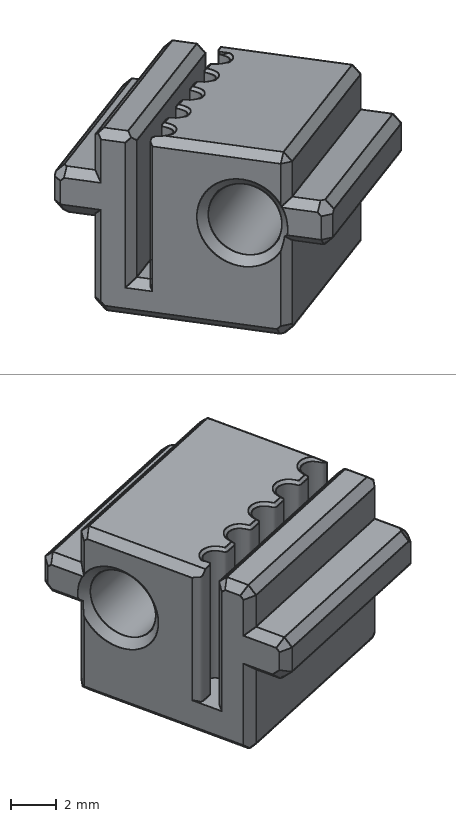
import cadquery as cq
import math

length = 10.5
body_height = 8.8
overall_width = 12.85
lug_reach = 1.875
body_width = overall_width - 2 * lug_reach
body_left = -body_width / 2
body_right = body_width / 2
bevel = 0.4
corner_facet_reach = bevel * (1 + math.sqrt(2))

lug_top = 6.7
left_lug_thickness = 2.3
right_lug_thickness = 2.1
left_lug_low_bevel = 0.6
lug_root = 1.0

clamp_wall = 1.925
slot_width = 0.715
slot_floor = 1.8
slot_left = body_left + clamp_wall
slot_right = slot_left + slot_width
tooth_bevel = 0.14

groove_pitch = 2.0
groove_count = 6
first_groove_y = 1.0
groove_depth = 0.75
groove_root_radius = 0.555
groove_flank_radius = 1.0
groove_flank_offset = 0.4
groove_lip_radius = 0.15
bevelled_groove_count = 5

hole_inset = 2.175
hole_x = body_right - hole_inset
hole_z = 5.3
hole_radius = 1.7

match_tolerance = 0.01


def near(x=None, y=None, z=None):
    """Return a test for edges whose centre lies at the given coordinates."""
    def test(edge):
        centre = edge.Center()
        pairs = ((x, centre.x), (y, centre.y), (z, centre.z))
        return all(want is None or abs(want - have) < match_tolerance for want, have in pairs)
    return test


def bevel_edges(solid, size, *tests):
    """Chamfer every edge that passes at least one of the tests."""
    edges = [edge for edge in solid.Edges() if any(test(edge) for test in tests)]
    return solid.chamfer(size, None, edges)


def box(x_min, x_max, y_min, y_max, z_min, z_max):
    """Return a block between the given limits."""
    size = (x_max - x_min, y_max - y_min, z_max - z_min)
    return cq.Workplane().box(*size, centered=False).translate((x_min, y_min, z_min)).val()


def cut_beyond(solid, normal, point):
    """Remove everything on the outer side of the plane through the point."""
    plane = cq.Plane(origin=point, normal=normal)
    side = 4 * overall_width
    return solid.cut(cq.Workplane(plane).rect(side, side).extrude(side).val())


def make_body():
    """Block with the plain slot, bevelled outside and along the clamp wall."""
    solid = box(body_left, body_right, 0, length, 0, body_height)
    slot = box(slot_left, slot_right, 0, length, slot_floor, body_height)
    solid = solid.cut(slot).Solids()[0]

    is_front = near(y=0)
    toothed_wall_front = near(x=slot_right, y=0)
    top_right = near(x=body_right, z=body_height)

    def front_bevelled(edge):
        return is_front(edge) and not toothed_wall_front(edge)

    solid = bevel_edges(solid, bevel, front_bevelled, top_right)

    clamp_outer_top = near(x=body_left, z=body_height)
    clamp_inner_top = near(x=slot_left, z=body_height)
    solid = bevel_edges(solid, bevel, clamp_outer_top, clamp_inner_top)

    is_rear = near(y=length)
    toothed_wall_rear = near(x=slot_right, y=length)
    floor_rear = near(y=length, z=slot_floor)

    def rear_bevelled(edge):
        return is_rear(edge) and not toothed_wall_rear(edge) and not floor_rear(edge)

    solid = bevel_edges(solid, bevel, rear_bevelled)

    solid = bevel_edges(solid, bevel, near(x=body_left, z=0), near(x=body_right, z=0))

    facet_left = body_left + corner_facet_reach
    facet_right = body_right - corner_facet_reach
    solid = cut_beyond(solid, (-1, -1, -1), (facet_left, 0, 0))
    solid = cut_beyond(solid, (1, -1, -1), (facet_right, 0, 0))

    return bevel_edges(solid, tooth_bevel, toothed_wall_front)


def make_lug(thickness, low_bevel):
    """Bevelled bar along the left side, with its root buried in the body."""
    tip = body_left - lug_reach
    root = body_left + lug_root
    low = lug_top - thickness
    solid = box(tip, root, 0, length, low, lug_top)

    solid = bevel_edges(solid, bevel, near(x=tip, z=lug_top))

    def front_outer(edge):
        above_low = edge.Center().z > low + match_tolerance
        outside_root = edge.Center().x < root - match_tolerance
        return near(y=0)(edge) and above_low and outside_root

    solid = bevel_edges(solid, bevel, front_outer)

    solid = cut_beyond(solid, (-1, -1, 1), (tip + corner_facet_reach, 0, lug_top))

    solid = cut_beyond(solid, (-1, 0, -1), (tip, 0, low + low_bevel))
    solid = cut_beyond(solid, (0, -1, -1), (tip, 0, low + low_bevel))
    solid = cut_beyond(solid, (-1, -1, -1), (tip + bevel, 0, low + low_bevel))

    def rear_outer(edge):
        return near(y=length)(edge) and edge.Center().x < root - match_tolerance

    return bevel_edges(solid, bevel, rear_outer)


def groove_prism(y_centre):
    """One belt groove: root arc, two flank arcs and flared lips, slot floor to top."""
    centre_gap = groove_flank_radius - groove_root_radius
    root_x = math.sqrt(centre_gap ** 2 - groove_flank_offset ** 2)
    scale_to_touch = groove_flank_radius / centre_gap
    touch_x = root_x * scale_to_touch
    touch_y = groove_flank_offset * scale_to_touch - groove_flank_offset

    lip_span = groove_flank_radius + groove_lip_radius
    lip_centre_height = math.sqrt(lip_span ** 2 - groove_lip_radius ** 2)
    mouth_y = lip_centre_height - groove_flank_offset
    lip_x = groove_lip_radius * groove_flank_radius / lip_span
    lip_y = lip_centre_height * groove_flank_radius / lip_span - groove_flank_offset

    lip_angle = math.asin(groove_lip_radius / lip_span)
    flank_angle = (lip_angle + math.asin(touch_x / groove_flank_radius)) / 2
    flank_mid_x = groove_flank_radius * math.sin(flank_angle)
    flank_mid_y = groove_flank_radius * math.cos(flank_angle) - groove_flank_offset

    lip_turn = (math.pi / 2 - lip_angle) / 2
    lip_mid_x = groove_lip_radius * (1 - math.cos(lip_turn))
    lip_mid_y = mouth_y - groove_lip_radius * math.sin(lip_turn)

    profile = (
        cq.Workplane(origin=(slot_right, y_centre, slot_floor))
        .moveTo(0, -mouth_y)
        .threePointArc((lip_mid_x, -lip_mid_y), (lip_x, -lip_y))
        .threePointArc((flank_mid_x, -flank_mid_y), (touch_x, -touch_y))
        .threePointArc((groove_depth, 0), (touch_x, touch_y))
        .threePointArc((flank_mid_x, flank_mid_y), (lip_x, lip_y))
        .threePointArc((lip_mid_x, lip_mid_y), (0, mouth_y))
        .close()
    )
    return profile.extrude(body_height - slot_floor).val()


def cut_grooves(body):
    """Cut the belt grooves and bevel their top rim."""
    strip_right = slot_right + 2 * groove_depth
    strip_front = -groove_pitch
    strip_rear = length + groove_pitch
    strip = box(slot_right, strip_right, strip_front, strip_rear, slot_floor, body_height)
    teeth = strip
    for index in range(groove_count):
        teeth = teeth.cut(groove_prism(first_groove_y + index * groove_pitch))
    teeth = teeth.Solids()[0]

    def rim(edge):
        centre = edge.Center()
        on_top = near(z=body_height)(edge)
        inside = strip_front + match_tolerance < centre.y < strip_rear - match_tolerance
        return on_top and inside and centre.x < strip_right - match_tolerance

    bevelled = bevel_edges(teeth, tooth_bevel, rim)

    last_full_y = first_groove_y + (bevelled_groove_count - 1) * groove_pitch
    rim_end = last_full_y + groove_flank_radius - groove_flank_offset
    rim_zone = box(slot_right, strip_right, strip_front, rim_end, slot_floor, body_height)
    rim_tool = strip.cut(bevelled).intersect(rim_zone)
    return body.cut(strip.cut(teeth)).cut(rim_tool)


def hole_tool():
    """Through hole with a countersink at each end."""
    mouth_radius = hole_radius + bevel
    return (
        cq.Workplane("XY")
        .lineTo(mouth_radius, 0)
        .lineTo(hole_radius, bevel)
        .lineTo(hole_radius, length - bevel)
        .lineTo(mouth_radius, length)
        .lineTo(0, length)
        .close()
        .revolve(360, (0, 0), (0, 1))
        .translate((hole_x, 0, hole_z))
        .val()
    )


left_lug = make_lug(left_lug_thickness, left_lug_low_bevel)
right_lug = make_lug(right_lug_thickness, bevel).mirror("YZ")
part = cut_grooves(make_body()).fuse(left_lug, right_lug).cut(hole_tool())
result = cq.Workplane(part.clean())